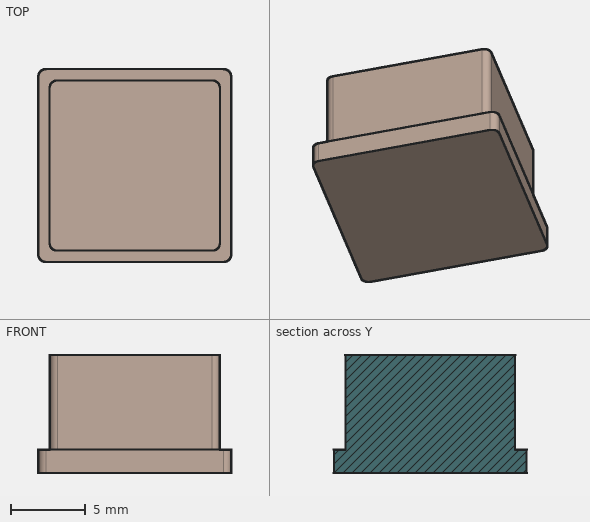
import cadquery as cq

base_side = 12.95
base_height = 1.58
total_height = 7.94
ledge_width = 0.76
corner_radius = 0.52

block_side = base_side - 2 * ledge_width
block_height = total_height - base_height


def rounded_square_block(side, height, bottom):
    """Square block centred on the Z axis with rounded vertical edges."""
    return (
        cq.Workplane("XY", origin=(0, 0, bottom))
        .rect(side, side)
        .extrude(height)
        .edges("|Z")
        .fillet(corner_radius)
    )


base = rounded_square_block(base_side, base_height, 0)
block = rounded_square_block(block_side, block_height, base_height)

result = base.union(block)